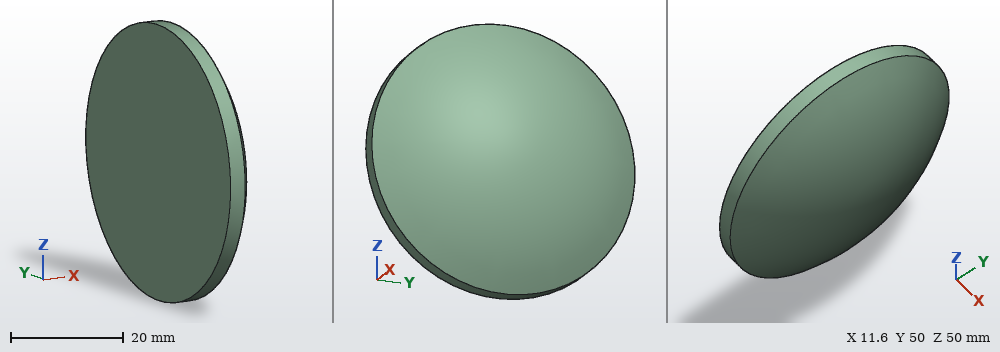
import cadquery as cq
import math

diameter = 50.0
total_thickness = 11.55
edge_thickness = 3.0

radius = diameter / 2
dome_height = total_thickness - edge_thickness
sphere_radius = (radius**2 + dome_height**2) / (2 * dome_height)
sphere_center_x = total_thickness - sphere_radius

mid_angle = math.asin(radius / sphere_radius) / 2
arc_midpoint = (
    sphere_center_x + sphere_radius * math.cos(mid_angle),
    -sphere_radius * math.sin(mid_angle),
)

half_section = (
    cq.Workplane("XY")
    .lineTo(0, -radius)
    .lineTo(edge_thickness, -radius)
    .threePointArc(arc_midpoint, (total_thickness, 0))
    .close()
)

result = half_section.revolve(360, (0, 0, 0), (1, 0, 0))